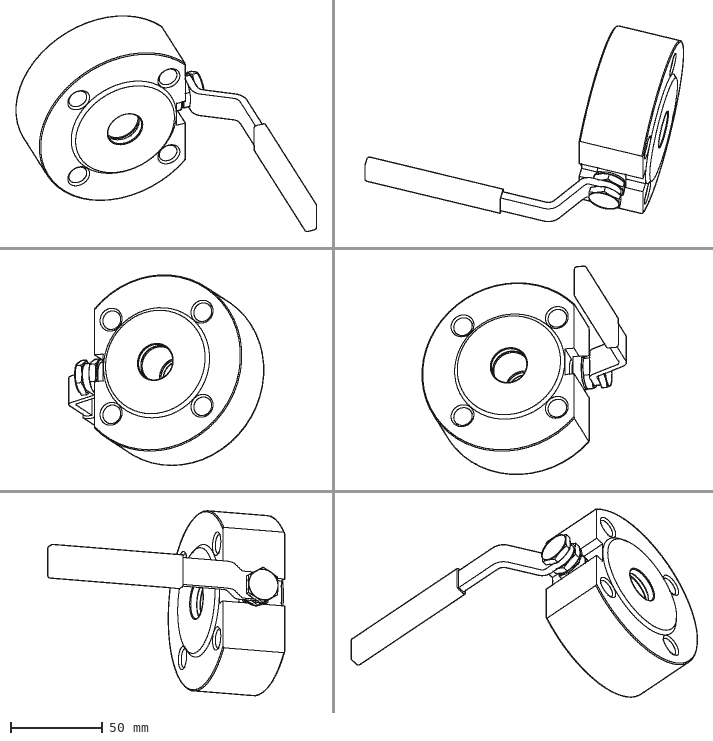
import cadquery as cq
import math


overall_length = 151.0
housing_diameter = 99.0
housing_width = 36.2
rim_chamfer = 0.6
flat_height = 36.2

face_to_face = 40.0
raised_base_diameter = 61.9
raised_height = (face_to_face - housing_width) / 2

bore_diameter = 20.0
bore_chamfer = 0.5
groove_depth = 0.8
groove_start = 4.1
groove_width = 2.1

bolt_circle = 75.0
bolt_count = 4
bolt_hole_diameter = 10.4
bolt_hole_chamfer = 1.2

stem_diameter = 15.1
stem_radius = stem_diameter / 2
slot_floor = 31.1
slot_width = stem_diameter

foot_bevel = 0.5
stop_bottom = 33.0
stop_corner_radius = 1.7

washer_bottom = 38.0
washer_thickness = 0.9
washer_diameter = 18.1

nut_across_flats = 17.0
nut_chamfer = 0.5
nut_pad_height = 0.5
lower_nut_bottom = washer_bottom + washer_thickness
upper_nut_height = 4.2

lever_thickness = 4.1
lever_width = stem_diameter
lever_seat = 43.0
lever_rise = 21.0
lever_slope = 57.0
lower_knee_x = 12.0
lower_bend_radius = 3.0
upper_bend_radius = 5.0

grip_start = 53.9
grip_end = overall_length - face_to_face / 2
grip_thickness = 7.0
grip_width = 18.1
grip_fillet = 1.5
grip_centre = lever_seat + lever_thickness / 2 + lever_rise


def disc_along_x(diameter, x_start, length):
    return cq.Workplane("YZ").workplane(offset=x_start).circle(diameter / 2).extrude(length)


def upright(y_bottom):
    """Workplane facing +Y at the given height, with local x = X and local y = -Z."""
    return cq.Workplane("XZ", origin=(0, y_bottom, 0)).transformed(rotate=(180, 0, 0))


def make_housing():
    """Round flanged body with a flat, a stem slot, bolt holes, raised faces and the bore."""
    drum = disc_along_x(housing_diameter, -housing_width / 2, housing_width)
    drum = drum.faces("<X or >X").chamfer(rim_chamfer)

    drum = drum.intersect(
        cq.Workplane("XY")
        .box(housing_width, housing_diameter, housing_diameter)
        .translate((0, flat_height - housing_diameter / 2, 0))
    )

    slot_depth = flat_height - slot_floor
    slot = cq.Workplane("XY").box(housing_width, slot_depth, slot_width)
    drum = drum.cut(slot.translate((0, slot_floor + slot_depth / 2, 0)))

    bolt_holes = (
        cq.Workplane("YZ")
        .workplane(offset=-housing_width / 2)
        .polarArray(bolt_circle / 2, 180 / bolt_count, 360, bolt_count)
        .circle(bolt_hole_diameter / 2)
        .extrude(housing_width)
    )
    drum = drum.cut(bolt_holes)
    for side in (-1, 1):
        drum = drum.cut(bolt_hole_countersinks(side))

    raised = disc_along_x(raised_base_diameter, -face_to_face / 2, face_to_face)
    raised = raised.faces("<X or >X").chamfer(raised_height)
    return drum.union(raised).cut(bore_cutter())


def bolt_hole_countersinks(side):
    mouth_radius = bolt_hole_diameter / 2 + bolt_hole_chamfer
    cone = cq.Solid.makeCone(
        mouth_radius,
        bolt_hole_diameter / 2,
        bolt_hole_chamfer,
        pnt=cq.Vector(side * housing_width / 2, 0, 0),
        dir=cq.Vector(-side, 0, 0),
    )
    cones = cq.Workplane("XY")
    for i in range(bolt_count):
        angle = math.radians(360 / bolt_count * (i + 0.5))
        place = (0, bolt_circle / 2 * math.cos(angle), bolt_circle / 2 * math.sin(angle))
        cones = cones.add(cone.translate(cq.Vector(*place)))
    return cones.combine()


def bore_cutter():
    """Straight bore with chamfered mouths and one shallow groove near each end."""
    half = face_to_face / 2
    radius = bore_diameter / 2
    cutter = disc_along_x(bore_diameter, -half, face_to_face)
    groove_diameter = bore_diameter + 2 * groove_depth
    for x_start in (-half + groove_start, half - groove_start - groove_width):
        cutter = cutter.union(disc_along_x(groove_diameter, x_start, groove_width))
    for side in (-1, 1):
        mouth = cq.Solid.makeCone(
            radius + bore_chamfer,
            radius,
            bore_chamfer,
            pnt=cq.Vector(side * half, 0, 0),
            dir=cq.Vector(-side, 0, 0),
        )
        cutter = cutter.union(cq.Workplane(mouth))
    return cutter


def make_round(y_bottom, diameter, height):
    return upright(y_bottom).circle(diameter / 2).extrude(height)


def make_nut(y_bottom, y_top, top_pad=0):
    """Hexagon nut, two corners on the Z axis, corners chamfered, with an optional washer face on top."""
    across_corners = nut_across_flats / math.cos(math.radians(30))
    face_radius = nut_across_flats / 2
    corner_radius = across_corners / 2
    hexagon = upright(y_bottom).transformed(rotate=(0, 0, 90)).polygon(6, across_corners)
    hexagon = hexagon.extrude(y_top - y_bottom)
    hex_top = y_top - top_pad
    chamfered_disc = (
        cq.Workplane("XY")
        .polyline([
            (0, y_bottom), (face_radius, y_bottom), (corner_radius, y_bottom + nut_chamfer),
            (corner_radius, hex_top - nut_chamfer), (face_radius, hex_top), (0, hex_top),
        ])
        .close()
        .revolve(360, (0, 0, 0), (0, 1, 0))
    )
    washer_face = make_round(y_bottom, nut_across_flats, y_top - y_bottom)
    return hexagon.intersect(chamfered_disc).union(washer_face)


def make_stop():
    """Stop plate around the stem: square, but round in the -X, +Z quarter."""
    r = stem_radius
    height = washer_bottom - stop_bottom
    three_quarters = (
        cq.Workplane("XZ", origin=(0, stop_bottom, 0))
        .polyline([(0, 0), (0, r), (r, r), (r, -r), (-r, -r), (-r, 0)])
        .close()
        .extrude(-height)
    )
    for x, z in ((r, r), (r, -r), (-r, -r)):
        corner = cq.NearestToPointSelector((x, stop_bottom + height / 2, z))
        three_quarters = three_quarters.edges(corner).fillet(stop_corner_radius)
    return three_quarters.union(make_round(stop_bottom, stem_diameter, height))


def make_lever_bar():
    """Flat bar that starts at the stem axis and steps up through two bends to the grip."""
    half = lever_thickness / 2
    slope = math.radians(lever_slope)
    upper_knee_x = lower_knee_x + lever_rise / math.tan(slope)
    corner_shift = half * math.tan(slope / 2)
    low_under = lever_seat
    low_top = low_under + lever_thickness
    high_under = low_under + lever_rise
    high_top = low_top + lever_rise

    lower_inner = (lower_knee_x - corner_shift, low_top)
    lower_outer = (lower_knee_x + corner_shift, low_under)
    upper_inner = (upper_knee_x + corner_shift, high_under)
    upper_outer = (upper_knee_x - corner_shift, high_top)
    bar = (
        cq.Workplane("XY")
        .polyline([
            (0, low_under), lower_outer, upper_inner, (grip_start, high_under),
            (grip_start, high_top), upper_outer, lower_inner, (0, low_top),
        ])
        .close()
        .extrude(lever_width / 2, both=True)
    )
    bends = (
        (lower_inner, lower_bend_radius),
        (upper_inner, upper_bend_radius),
        (lower_outer, lower_bend_radius + lever_thickness),
        (upper_outer, upper_bend_radius + lever_thickness),
    )
    for corner, radius in bends:
        bar = bar.edges(cq.NearestToPointSelector((*corner, 0))).fillet(radius)
    return bar


def make_grip():
    length = grip_end - grip_start
    grip = cq.Workplane("XY").box(length, grip_thickness, grip_width)
    grip = grip.edges("|X or >X").fillet(grip_fillet)
    return grip.translate((grip_start + length / 2, grip_centre, 0))


def make_operating_lever():
    """Stem, stop plate, washer, nuts, bar and grip as one solid."""
    lever_top = lever_seat + lever_thickness
    upper_nut_top = lever_top + upper_nut_height
    lever = make_round(slot_floor, stem_diameter, stop_bottom - slot_floor)
    lever = lever.faces(">Y").chamfer(foot_bevel)
    parts = (
        make_stop(),
        make_round(washer_bottom, washer_diameter, washer_thickness),
        make_nut(lower_nut_bottom, lever_seat),
        make_round(lever_seat, stem_diameter, lever_thickness),
        make_lever_bar(),
        make_nut(lever_top, upper_nut_top, nut_pad_height),
        make_grip(),
    )
    for part in parts:
        lever = lever.union(part)
    return lever


housing = make_housing()
operating_lever = make_operating_lever()
result = cq.Compound.makeCompound([housing.solids().val(), operating_lever.solids().val()])